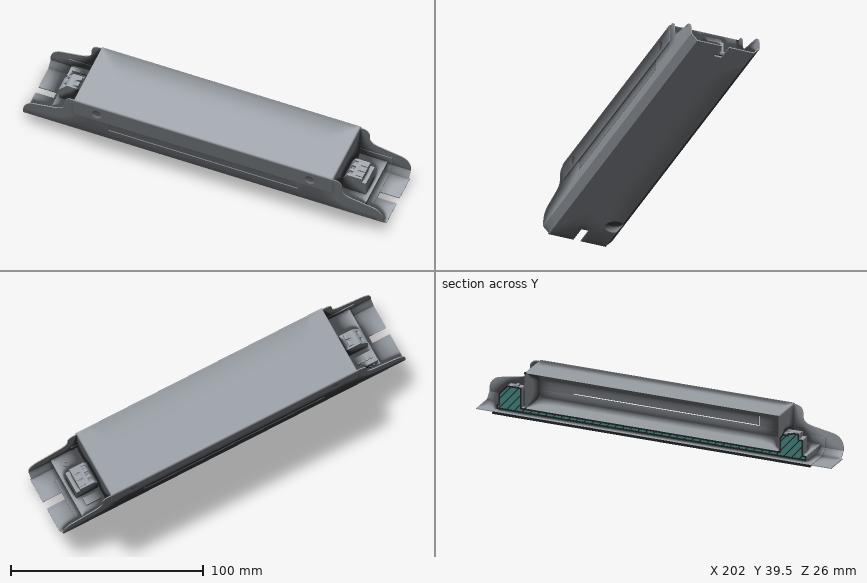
import cadquery as cq
import math


channel_length = 201.4
channel_width = 38.5
channel_height = 25.2
sheet = 0.5
bevel_width = 3.5
bevel_height = 3.6
slot_width = 4.0
slot_length = 10.3
floor_tab_width = 32.5
floor_tab_reach = 0.6

end_edge_height = 5.7
ramp_start = (5.3, 12.5)
ramp_end = (15.4, 14.3)
neck_bottom = (23.0, 19.8)
neck_top = (23.0, 21.5)
crest = (27.0, channel_height)

window_length = 106.0
window_bottom = 9.7
slit_width = 0.6
tab_sink = 0.2

cover_length = 145.0
cover_middle = 0.2
cover_width = 39.5
cover_top = 26.0
cover_bottom = 15.4
cover_bend = 1.0
cover_corner = 1.5
end_plate_width = 35.5
end_plate_corner = 1.6
end_tab_height = 1.0

fixing_spacing = 119.2
fixing_height = 20.0
fixing_hole = 2.8
fixing_rim = 5.7

liner_length = 180.8
liner_top = 9.3
liner_sheet = 0.3
board_length = 175.7
board_bottom = 3.2
board_top = 5.5
liner_notch_edge = -9.3

earth_x = 81.8
earth_y = -13.3
cone_base_radius = 5.9
cone_top_radius = 4.5
eyelet_diameter = 2.8
eyelet_bore = 1.6
eyelet_height = 0.6

input_x = (-86.7, -74.1)
input_y = (-4.6, 4.2)
input_front_top = 11.7
input_shoulder_x = -82.0
input_top = 16.8
input_lever_x = (-79.8, -76.2)
input_lever_ramp = 2.5
input_lever_top = 18.0
input_pole_pitch = 4.0

output_x = (73.1, 85.8)
output_y = (-6.5, 5.9)
output_back_x = 75.3
output_back_height = 13.1
output_top = 16.5
output_step_x = 83.6
output_step_top = 14.1
output_lever_x = (79.5, 83.6)
output_lever_top = 17.2
output_pole_pitch = 3.6

lever_width = 2.6
entry_size = 2.2
entry_depth = 1.0

switch_x = (-87.0, -74.7)
switch_y = (7.7, 14.3)
switch_top = 9.5
slider_size = (1.8, 1.0)
slider_top = 10.5
slider_y = 11.5
pin_pitch = 2.5
pin_count = 4
pin_width = 1.0
pin_reach = 0.8
pin_top = 7.0

chip_x = (74.3, 83.2)
chip_y = (7.7, 12.0)
chip_top = 6.7

channel_end = channel_length / 2
wall_inside = channel_width / 2 - sheet


def block(x_range, y_range, z_range):
    """Axis-aligned box spanning the three ranges."""
    sizes = [top - bottom for bottom, top in (x_range, y_range, z_range)]
    return (
        cq.Workplane("XY")
        .box(*sizes, centered=False)
        .translate((x_range[0], y_range[0], z_range[0]))
    )


def span(middle, size):
    """Range of a given size around a middle position."""
    return (middle - size / 2, middle + size / 2)


def mirrored_pair(body):
    """The body together with its mirror image across the XZ plane."""
    return body.union(body.mirror("XZ"))


def trough_solid(inset, top, length):
    """Bevelled trough section along X, filled up to the top and inset from the channel outside."""
    bevel_angle = math.atan2(bevel_height, bevel_width)
    floor_half = channel_width / 2 - bevel_width - inset * math.tan(bevel_angle / 2)
    side_half = channel_width / 2 - inset
    bend = bevel_height + inset * math.tan((math.pi / 2 - bevel_angle) / 2)
    right_side = [(floor_half, inset), (side_half, bend), (side_half, top)]
    left_side = [(-y, z) for y, z in reversed(right_side)]
    return (
        cq.Workplane("YZ")
        .polyline(right_side + left_side)
        .close()
        .extrude(length / 2, both=True)
    )


def trough(inset, thickness, top, length):
    """Open trough of constant thickness, inset from the channel outside."""
    return trough_solid(inset, top, length).cut(trough_solid(inset + thickness, top, length))


def wall_outline():
    """Solid with the side outline of the channel: low rounded ends sweeping up to the middle."""

    def from_end(point):
        return (point[0] - channel_end, point[1])

    ramp_direction = (ramp_end[0] - ramp_start[0], ramp_end[1] - ramp_start[1])
    return (
        cq.Workplane("XZ")
        .moveTo(0, 0)
        .lineTo(*from_end((0, 0)))
        .lineTo(*from_end((0, end_edge_height)))
        .tangentArcPoint(from_end(ramp_start), relative=False)
        .lineTo(*from_end(ramp_end))
        .spline([from_end(neck_bottom)], tangents=[ramp_direction, (0, 1)], includeCurrent=True)
        .lineTo(*from_end(neck_top))
        .tangentArcPoint(from_end(crest), relative=False)
        .lineTo(0, channel_height)
        .mirrorY()
        .extrude(channel_width, both=True)
    )


def side_relief():
    """Cutter for the -Y wall: sinks the tab and slits its bottom and +X end."""
    x_range = span(0, window_length)
    outer_face = -channel_width / 2
    through_wall = (outer_face, -wall_inside)
    z_range = (window_bottom, cover_bottom)
    sunken_face = block(x_range, (outer_face, outer_face + tab_sink), z_range)
    bottom_slit = block(x_range, through_wall, (window_bottom, window_bottom + slit_width))
    end_slit = block((x_range[1] - slit_width, x_range[1]), through_wall, z_range)
    return sunken_face.union(bottom_slit).union(end_slit)


def channel():
    """Bevelled trough with curved walls, slotted floor ends and sunken tabs in both walls."""
    body = trough(0, sheet, channel_height, channel_length).intersect(wall_outline())
    body = body.union(
        block(
            (channel_end, channel_end + floor_tab_reach),
            span(0, floor_tab_width),
            (0, sheet),
        )
    )
    for end in (-channel_end, channel_end):
        body = body.cut(block(span(end, 2 * slot_length), span(0, slot_width), (0, sheet)))
    return body.cut(mirrored_pair(side_relief()))


def cone(base_radius, top_radius, height):
    """Upright truncated cone standing on the floor plane at the earth point."""
    return (
        cq.Workplane("XZ", origin=(earth_x, earth_y, 0))
        .polyline([(0, 0), (base_radius, 0), (top_radius, height), (0, height)])
        .close()
        .revolve(360, (0, 0, 0), (0, 1, 0))
    )


def with_earth_cone(body):
    """Raise the hollow cone out of the floor, up to the board and flush with the bevel outside."""
    raised = cone(cone_base_radius, cone_top_radius, board_bottom).intersect(
        trough_solid(0, channel_height, channel_length)
    )
    hollow = cone(cone_base_radius - sheet, cone_top_radius - sheet, board_bottom - sheet)
    return body.union(raised).cut(hollow)


def cover():
    """Lid with side skirts over the walls and an end plate closing each end."""
    x_range = span(cover_middle, cover_length)
    solid = (
        block(x_range, span(0, cover_width), (board_top, cover_top))
        .faces(">Z")
        .edges()
        .fillet(cover_bend)
    )
    skirt_shape = (
        block(x_range, span(0, cover_width), (cover_bottom, cover_top))
        .faces("<Z")
        .edges("|Y")
        .fillet(cover_corner)
    )
    cavity = block(x_range, span(0, channel_width), (board_top, cover_top - sheet))
    body = solid.intersect(skirt_shape).cut(cavity)

    plate_shape = (
        block(x_range, span(0, end_plate_width), (board_top, cover_top))
        .faces("<Z")
        .edges("|X")
        .chamfer(end_plate_corner)
    )
    plate_shape = plate_shape.union(
        block(x_range, span(0, channel_width), (cover_bottom - end_tab_height, cover_bottom))
    )
    between_plates = block(
        span(cover_middle, cover_length - 2 * sheet), span(0, cover_width), (0, cover_top)
    )
    return body.union(solid.intersect(plate_shape).cut(between_plates))


def cover_fixings():
    """Countersinks through the -Y skirt, ending on the channel wall."""
    depth = (cover_width - channel_width) / 2
    cutter = cq.Workplane("XY")
    for x in span(cover_middle, fixing_spacing):
        axis_start = cq.Vector(x, -cover_width / 2, fixing_height)
        cutter = cutter.add(
            cq.Solid.makeCone(fixing_rim / 2, fixing_hole / 2, depth, axis_start, cq.Vector(0, 1, 0))
        )
    return cutter.combine()


def liner():
    """Thin insulating tray lying in the channel, cut away around the earth cone."""
    tray = trough(sheet, liner_sheet, liner_top, liner_length).intersect(wall_outline())
    notch = block(
        (earth_x - cone_base_radius, channel_end), (-channel_width / 2, liner_notch_edge), (0, liner_top)
    )
    return tray.cut(notch)


def board():
    """Circuit board spanning the channel between the walls."""
    return block(
        span(0, board_length), span(0, 2 * wall_inside), (board_bottom, board_top)
    ).intersect(trough_solid(sheet, channel_height, board_length))


def earth_eyelet():
    """Small ring on the board above the earth cone."""
    return (
        cq.Workplane("XY", origin=(earth_x, earth_y, board_top))
        .circle(eyelet_diameter / 2)
        .circle(eyelet_bore / 2)
        .extrude(eyelet_height)
    )


def pole_centres(y_range, pitch, count):
    """Evenly pitched positions about the middle of a width range."""
    middle = sum(y_range) / 2
    return [middle + (i - (count - 1) / 2) * pitch for i in range(count)]


def terminal(side_profile, y_range):
    """Terminal housing: a side profile extruded across its width."""
    return (
        cq.Workplane("XZ", origin=(0, y_range[1], 0))
        .polyline(side_profile)
        .close()
        .extrude(y_range[1] - y_range[0])
    )


def input_terminal():
    """Two-pole terminal with sloped entry face and raised levers."""
    profile = [
        (input_x[0], board_top),
        (input_x[0], input_front_top),
        (input_shoulder_x, input_top),
        (input_x[1], input_top),
        (input_x[1], board_top),
    ]
    lever_profile = [
        (input_lever_x[0], input_top),
        (input_lever_x[0] + input_lever_ramp, input_lever_top),
        (input_lever_x[1], input_lever_top),
        (input_lever_x[1], input_top),
    ]
    body = terminal(profile, input_y)
    entry_x = (input_x[0] + input_shoulder_x) / 2
    entry_height = (input_front_top + input_top) / 2
    for y in pole_centres(input_y, input_pole_pitch, 2):
        lever = terminal(lever_profile, span(y, lever_width))
        entry = block(
            (entry_x - entry_size, entry_x + entry_depth), span(y, entry_size), span(entry_height, entry_size)
        )
        body = body.union(lever).cut(entry)
    return body


def output_terminal():
    """Three-pole terminal with a steep back, a step on the +X side and raised levers."""
    profile = [
        (output_x[0], board_top),
        (output_x[0], output_back_height),
        (output_back_x, output_top),
        (output_step_x, output_top),
        (output_step_x, output_step_top),
        (output_x[1], output_step_top),
        (output_x[1], board_top),
    ]
    body = terminal(profile, output_y)
    for y in pole_centres(output_y, output_pole_pitch, 3):
        lever = block(output_lever_x, span(y, lever_width), (output_top, output_lever_top))
        entry_x = (output_back_x, output_back_x + entry_size)
        entry = block(entry_x, span(y, entry_size), (output_top - entry_depth, output_top))
        body = body.union(lever).cut(entry)
    return body


def switch_block():
    """Low housing with a row of sliders on top and pins along both long sides."""
    body = block(switch_x, switch_y, (board_top, switch_top))
    pin_y = (switch_y[0] - pin_reach, switch_y[1] + pin_reach)
    for x in pole_centres(switch_x, pin_pitch, pin_count):
        slider = block(span(x, slider_size[0]), span(slider_y, slider_size[1]), (switch_top, slider_top))
        pins = block(span(x, pin_width), pin_y, (board_top, pin_top))
        body = body.union(slider).union(pins)
    return body


def chip():
    """Flat component on the board."""
    return block(chip_x, chip_y, (board_top, chip_top))


result = with_earth_cone(channel().union(liner()))
result = result.union(board())
result = result.union(cover()).cut(mirrored_pair(cover_fixings()))
for component in (earth_eyelet(), input_terminal(), output_terminal(), switch_block(), chip()):
    result = result.union(component)